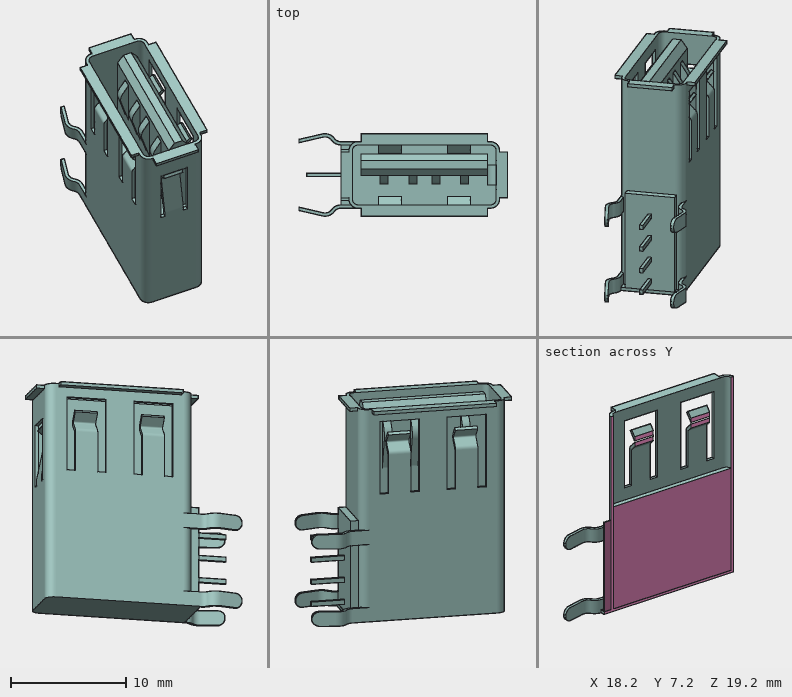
import cadquery as cq
import math


sheet = 0.3
shell_length = 13.1
shell_width = 5.8
shell_height = 19.2
corner_radius = 0.8
half_length = shell_length / 2
half_width = shell_width / 2
inner_half_length = half_length - sheet
inner_half_width = half_width - sheet

flange_reach = 0.7
long_flange = 11.0
short_flange = 4.0
side_reach = half_length + flange_reach

window_spacing = 6.0
window_width = 3.5
window_bottom = 11.5
window_top = 18.05
tab_width = 2.0
tab_bend_start = 15.1
tab_apex = 15.95
tab_tip = 16.87
tab_apex_depth = 0.85
tab_tip_depth = 0.04
tab_bend_radius = 0.3

side_window_width = 2.5
side_window_bottom = 10.9
side_window_top = 16.4
side_spring_width = 1.75
side_spring_bend_start = 11.3
side_spring_apex = 15.35
side_spring_tip = 15.95
side_spring_depth = 0.84
side_spring_tip_depth = 0.05
side_bend_radius = 0.9
side_foot_radius = 0.5

leg_height = 1.3
leg_bottoms = (0.0, 7.0)
leg_tip = -10.91
leg_bend_start = -side_reach
leg_flare = math.radians(53)
leg_return = math.radians(13)
leg_bend_radius = 0.855
leg_flare_straight = 0.02

floor_height = 10.3
tongue_length = long_flange
tongue_front = -0.05
tongue_back = 1.8
tongue_top = 18.9
tongue_chamfer_width = 0.55
tongue_chamfer_height = 0.75
contact_width = 0.7
contact_places = (-3.5, -1.0, 1.0, 3.5)
contact_top = 17.6
contact_lip_height = 0.23
contact_lip_depth = 0.15
contact_arc_top = 16.75
contact_arc_top_depth = 0.55
contact_apex = 16.1
contact_depth = 0.75
contact_arc_bottom = 15.5
contact_arc_bottom_depth = 0.65
contact_bottom = 13.0

block_width = 4.45
block_top = 9.04
pin_count = 4
pin_pitch = 2.0
pin_lowest = 1.13
pin_height = 0.4
pin_thickness = 0.3
pin_end = -10.22


def box(x_range, y_range, z_range):
    """Box between two limits on each axis."""
    size = [high - low for low, high in (x_range, y_range, z_range)]
    return cq.Workplane("XY").box(*size, centered=False).translate((x_range[0], y_range[0], z_range[0]))


def offset_side(points, radii, offset):
    """One face of a bent strip: its ends and, per bend, the arc start, middle and end.

    The path runs through points, with the corner between two straights rounded by its radius.
    A positive offset lies to the left of the path.
    """
    angles = [math.atan2(b[1] - a[1], b[0] - a[0]) for a, b in zip(points, points[1:])]

    def beside(point, angle, distance):
        return point[0] - distance * math.sin(angle), point[1] + distance * math.cos(angle)

    start = beside(points[0], angles[0], offset)
    end = beside(points[-1], angles[-1], offset)
    bends = []
    for corner, radius, before, after in zip(points[1:-1], radii, angles, angles[1:]):
        turn = after - before
        side = math.copysign(1, turn)
        tangent = radius * math.tan(abs(turn) / 2)
        arc_start = (corner[0] - tangent * math.cos(before), corner[1] - tangent * math.sin(before))
        centre = beside(arc_start, before, side * radius)
        from_centre = offset - side * radius
        bends.append([beside(centre, before + turn * part, from_centre) for part in (0, 0.5, 1)])
    return start, bends, end


def bent_strip(plane, points, radii, width):
    """Sheet strip along a rounded path in the given plane, extruded by width to both sides evenly."""
    left_start, left_bends, left_end = offset_side(points, radii, sheet / 2)
    right_start, right_bends, right_end = offset_side(points, radii, -sheet / 2)
    outline = cq.Workplane(plane).moveTo(*left_start)
    for arc_start, arc_middle, arc_end in left_bends:
        outline = outline.lineTo(*arc_start).threePointArc(arc_middle, arc_end)
    outline = outline.lineTo(*left_end).lineTo(*right_end)
    for arc_start, arc_middle, arc_end in reversed(right_bends):
        outline = outline.lineTo(*arc_end).threePointArc(arc_middle, arc_start)
    return outline.lineTo(*right_start).close().extrude(width / 2, both=True)


def rounded_column(length, width, radius, height):
    return cq.Workplane("XY").rect(length, width).extrude(height).edges("|Z").fillet(radius)


outer_column = rounded_column(shell_length, shell_width, corner_radius, shell_height)
inner_column = rounded_column(
    2 * inner_half_length, 2 * inner_half_width, corner_radius - sheet, shell_height
)


def make_tab(x, side):
    """Spring tab of a wide wall: rises from the window bottom, dips inward and flares back out."""
    wall = half_width - sheet / 2
    path = [
        (side * wall, window_bottom),
        (side * wall, tab_bend_start),
        (side * (wall - tab_apex_depth), tab_apex),
        (side * (wall - tab_tip_depth), tab_tip),
    ]
    return bent_strip("YZ", path, (tab_bend_radius, tab_bend_radius), tab_width).translate((x, 0, 0))


def make_side_spring():
    """Spring of the +X wall, bulging into the tube."""
    wall = half_length - sheet / 2
    path = [
        (wall, side_window_bottom),
        (wall, side_spring_bend_start),
        (wall - side_spring_depth, side_spring_apex),
        (wall - side_spring_tip_depth, side_spring_tip),
    ]
    return bent_strip("XZ", path, (side_foot_radius, side_bend_radius), side_spring_width)


def make_leg(side, bottom):
    """Board leg: straight on from the wide wall, flared outward, then sloping in to a round tip."""
    wall = half_width - sheet / 2
    inner_tangent = leg_bend_radius * math.tan(leg_flare / 2)
    outer_tangent = leg_bend_radius * math.tan((leg_flare + leg_return) / 2)
    flare_length = inner_tangent + leg_flare_straight + outer_tangent
    flare_corner = leg_bend_start - inner_tangent
    peak_corner = flare_corner - flare_length * math.cos(leg_flare)
    peak_rise = flare_length * math.sin(leg_flare)
    tip_rise = peak_rise - (peak_corner - leg_tip) * math.tan(leg_return)
    path = [
        (leg_tip, side * (wall + tip_rise)),
        (peak_corner, side * (wall + peak_rise)),
        (flare_corner, side * wall),
        (-half_length + corner_radius, side * wall),
    ]
    strip = bent_strip("XY", path, (leg_bend_radius, leg_bend_radius), leg_height)
    tip_radius = leg_height / 2
    face = (
        cq.Workplane("XZ")
        .moveTo(0, -tip_radius)
        .lineTo(leg_tip + tip_radius, -tip_radius)
        .threePointArc((leg_tip, 0), (leg_tip + tip_radius, tip_radius))
        .lineTo(0, tip_radius)
        .close()
        .extrude(shell_width, both=True)
    )
    return strip.intersect(face).translate((0, 0, bottom + tip_radius))


def make_shell():
    flange_z = (shell_height - sheet, shell_height)
    flange_end = half_width + flange_reach
    short_half = short_flange / 2
    long_half = long_flange / 2
    shell = outer_column.union(box((-side_reach, side_reach), (-short_half, short_half), flange_z))
    shell = shell.union(box((-long_half, long_half), (-flange_end, flange_end), flange_z))
    shell = shell.cut(inner_column.translate((0, 0, sheet)))

    shell = shell.union(box((-side_reach, 0), (-inner_half_width, inner_half_width), (0, sheet)))

    for x in (-window_spacing / 2, window_spacing / 2):
        x_range = (x - window_width / 2, x + window_width / 2)
        shell = shell.cut(box(x_range, (-half_width, half_width), (window_bottom, window_top)))
        for side in (-1, 1):
            shell = shell.union(make_tab(x, side))

    side_window = side_window_width / 2
    shell = shell.cut(
        box((0, half_length), (-side_window, side_window), (side_window_bottom, side_window_top))
    )
    shell = shell.union(make_side_spring())

    for bottom in leg_bottoms:
        for side in (-1, 1):
            shell = shell.union(make_leg(side, bottom))
    return shell


def make_contact(x):
    """Contact bulging from the -Y face of the tongue, farthest out at its apex."""
    apex = (tongue_front - contact_depth, contact_apex)
    arc_end = (tongue_front - contact_arc_bottom_depth, contact_arc_bottom)
    return (
        cq.Workplane("YZ")
        .moveTo(tongue_front, contact_top)
        .lineTo(tongue_front - contact_lip_depth, contact_top - contact_lip_height)
        .lineTo(tongue_front - contact_arc_top_depth, contact_arc_top)
        .threePointArc(apex, arc_end)
        .lineTo(tongue_front, contact_bottom)
        .lineTo(tongue_front + contact_lip_depth, contact_bottom)
        .lineTo(tongue_front + contact_lip_depth, contact_top)
        .close()
        .extrude(contact_width / 2, both=True)
        .translate((x, 0, 0))
    )


def make_insulator():
    base = inner_column.intersect(
        box((-half_length, half_length), (-half_width, half_width), (sheet, floor_height))
    )
    shoulder = tongue_top - tongue_chamfer_height
    tongue = (
        cq.Workplane("YZ")
        .moveTo(tongue_front, sheet)
        .lineTo(tongue_front, shoulder)
        .lineTo(tongue_front + tongue_chamfer_width, tongue_top)
        .lineTo(tongue_back - tongue_chamfer_width, tongue_top)
        .lineTo(tongue_back, shoulder)
        .lineTo(tongue_back, sheet)
        .close()
        .extrude(tongue_length / 2, both=True)
    )
    insulator = base.union(tongue)
    for x in contact_places:
        insulator = insulator.union(make_contact(x))
    return insulator


def make_terminal_block():
    half_block = block_width / 2
    block = box((-side_reach, -inner_half_length), (-half_block, half_block), (sheet, block_top))
    block = block.cut(outer_column)
    for index in range(pin_count):
        z = pin_lowest + index * pin_pitch
        block = block.union(
            box(
                (pin_end, -side_reach),
                (-pin_thickness / 2, pin_thickness / 2),
                (z - pin_height / 2, z + pin_height / 2),
            )
        )
    return block


shell = make_shell()
insulator = make_insulator()
terminal_block = make_terminal_block()

result = cq.Compound.makeCompound(
    [shell.solids().val(), insulator.solids().val(), terminal_block.solids().val()]
)